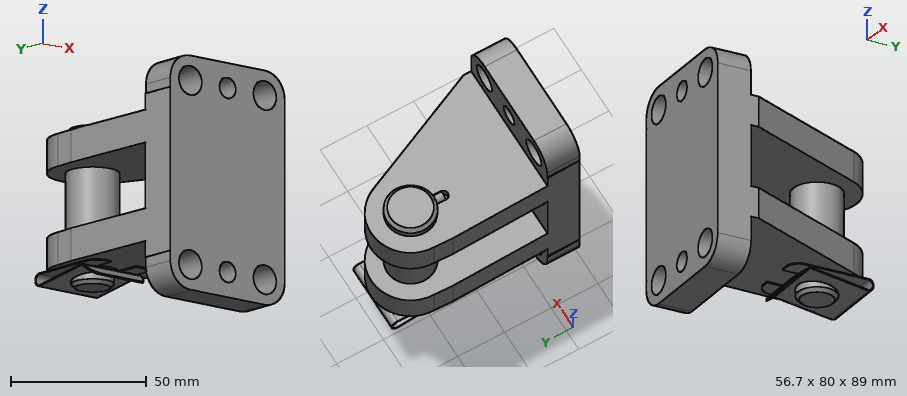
import cadquery as cq
import math


PLATE_WIDTH = 55.3
PLATE_HEIGHT = 89.0
PLATE_THICKNESS = 14.0
CORNER_RADIUS = 9.7
ROOT_HEIGHT = 62.2

BOLT_HOLE_DIAMETER = 11.0
DOWEL_HOLE_DIAMETER = 7.8
BOLT_SPACING_X = 36.0
HOLE_ROW_SPACING_Z = 69.95

LUG_GAP = 25.0
LUG_THICKNESS = 12.5
EYE_X = -11.8
EYE_Y = 63.1
EYE_RADIUS = 16.9
TAPER_OVERHANG = 1.4
TAPER_TOP_Y = 55.2
SHOULDER_Y = 17.2
LUG_OUTER_Z = LUG_GAP / 2 + LUG_THICKNESS

PIN_DIAMETER = 20.0
HEAD_HEIGHT = 3.9
PIN_CHAMFER = 1.4
NECK_DIAMETER = 12.0
NECK_LENGTH = 1.25
COLLAR_DIAMETER = 16.0
COLLAR_LENGTH = 4.7

KEY_DIAMETER = 4.0
KEY_END_Y = 49.1
KEY_RISE = 1.1
KEY_AXIS_Z = LUG_OUTER_Z + KEY_RISE - KEY_DIAMETER / 2

CLIP_WIDTH = 27.95
CLIP_THICKNESS = 0.45
CLIP_LOOP_RADIUS = 2.5
CLIP_LOOP_Y = 76.9
CLIP_TIP_Y = 45.4
CLIP_CORNER_RADIUS = 5.2
CLIP_BEND_Y = 52.7
CLIP_BEND_DROP = 0.9
CLIP_TAIL_Y = 47.7
CLIP_TAIL_DROP = 4.9


def eye_cylinder(diameter, z_bottom, z_top):
    """Cylinder on the pin axis."""
    return (
        cq.Workplane("XY", origin=(EYE_X, EYE_Y, z_bottom))
        .circle(diameter / 2)
        .extrude(z_top - z_bottom)
    )


def profile_slab(z_bottom, z_top):
    """Lug outline, from the mounting face to the round eye, extruded along Z."""
    half_width = PLATE_WIDTH / 2
    dx = half_width - EYE_X
    dy = SHOULDER_Y - EYE_Y
    angle = math.atan2(dy, dx) + math.acos(EYE_RADIUS / math.hypot(dx, dy))
    tangent = (EYE_X + EYE_RADIUS * math.cos(angle), EYE_Y + EYE_RADIUS * math.sin(angle))
    return (
        cq.Workplane("XY", origin=(0, 0, z_bottom))
        .moveTo(-half_width, 0)
        .lineTo(half_width, 0)
        .lineTo(half_width, SHOULDER_Y)
        .lineTo(*tangent)
        .threePointArc((EYE_X, EYE_Y + EYE_RADIUS), (EYE_X - EYE_RADIUS, EYE_Y))
        .lineTo(-half_width - TAPER_OVERHANG, TAPER_TOP_Y)
        .close()
        .extrude(z_top - z_bottom)
    )


def make_plate():
    """Rounded base plate with the tapered lug root."""
    plate = (
        cq.Workplane("XY")
        .box(PLATE_WIDTH, PLATE_THICKNESS, PLATE_HEIGHT)
        .edges("|Y")
        .fillet(CORNER_RADIUS)
        .translate((0, PLATE_THICKNESS / 2, 0))
    )
    root_limit = cq.Workplane("XY").box(2 * PLATE_WIDTH, 2 * PLATE_THICKNESS, ROOT_HEIGHT)
    root = profile_slab(-ROOT_HEIGHT / 2, ROOT_HEIGHT / 2).intersect(root_limit)
    return plate.union(root)


def mounting_holes():
    """Two rows of a dowel hole between two bolt holes."""
    face = cq.Workplane("XZ")
    bolts = (
        face.rarray(BOLT_SPACING_X, HOLE_ROW_SPACING_Z, 2, 2)
        .circle(BOLT_HOLE_DIAMETER / 2)
        .extrude(-PLATE_THICKNESS)
    )
    dowels = (
        face.rarray(0.9, HOLE_ROW_SPACING_Z, 1, 2)
        .circle(DOWEL_HOLE_DIAMETER / 2)
        .extrude(-PLATE_THICKNESS)
    )
    return bolts.union(dowels)


def key_slot():
    """Round-ended slot in the upper lug, open into the pin hole."""
    floor_z = KEY_AXIS_Z - KEY_DIAMETER / 2
    depth = LUG_OUTER_Z - floor_z
    length = EYE_Y - KEY_END_Y
    straight = (
        cq.Workplane("XY", origin=(EYE_X, KEY_END_Y + length / 2, floor_z))
        .rect(KEY_DIAMETER, length)
        .extrude(depth)
    )
    round_end = (
        cq.Workplane("XY", origin=(EYE_X, KEY_END_Y, floor_z))
        .circle(KEY_DIAMETER / 2)
        .extrude(depth)
    )
    return straight.union(round_end)


def make_bracket():
    """Base plate with two lugs, bored for the pin."""
    upper_lug = profile_slab(LUG_GAP / 2, LUG_OUTER_Z)
    lower_lug = profile_slab(-LUG_OUTER_Z, -LUG_GAP / 2)
    return (
        make_plate()
        .union(upper_lug)
        .union(lower_lug)
        .cut(mounting_holes())
        .cut(eye_cylinder(PIN_DIAMETER, -LUG_OUTER_Z, LUG_OUTER_Z))
        .cut(key_slot())
    )


def make_pin():
    """Chamfered pin with a clip groove near its lower end and a radial key."""
    groove_bottom_z = -LUG_OUTER_Z - NECK_LENGTH
    shank = eye_cylinder(PIN_DIAMETER, -LUG_OUTER_Z, LUG_OUTER_Z + HEAD_HEIGHT)
    neck = eye_cylinder(NECK_DIAMETER, groove_bottom_z, -LUG_OUTER_Z)
    collar = eye_cylinder(COLLAR_DIAMETER, groove_bottom_z - COLLAR_LENGTH, groove_bottom_z)
    key = (
        cq.Workplane("XZ", origin=(EYE_X, EYE_Y, KEY_AXIS_Z))
        .circle(KEY_DIAMETER / 2)
        .extrude(EYE_Y - KEY_END_Y)
    )
    return (
        shank.faces(">Z").chamfer(PIN_CHAMFER)
        .union(neck)
        .union(collar.faces("<Z").chamfer(PIN_CHAMFER))
        .union(key)
    )


def clip_blank(end_y, back_y, z_bottom, z_top):
    """Block of the clip's width whose two corners at end_y are rounded."""
    length = back_y - end_y
    return (
        cq.Workplane("XY", origin=(EYE_X, end_y + length / 2, z_bottom))
        .rect(CLIP_WIDTH, length)
        .extrude(z_top - z_bottom)
        .edges("|Z and <Y")
        .fillet(CLIP_CORNER_RADIUS)
    )


def clip_upper_leg():
    """Flat fork against the lower lug, straddling the pin neck."""
    slot_length = EYE_Y - CLIP_TIP_Y
    base_z = -LUG_OUTER_Z - CLIP_THICKNESS
    blade = clip_blank(CLIP_TIP_Y, CLIP_LOOP_Y, base_z, -LUG_OUTER_Z)
    slot = (
        cq.Workplane("XY", origin=(EYE_X, CLIP_TIP_Y + slot_length / 2, base_z))
        .rect(NECK_DIAMETER, slot_length)
        .extrude(CLIP_THICKNESS)
    )
    neck_hole = eye_cylinder(NECK_DIAMETER, base_z, -LUG_OUTER_Z)
    return blade.cut(slot).cut(neck_hole)


def clip_lower_strip():
    """Bent loop, rising leg and turned-down tail, with rounded corners and a collar hole."""
    loop_z = -LUG_OUTER_Z - CLIP_LOOP_RADIUS
    loop_end_y = CLIP_LOOP_Y + CLIP_LOOP_RADIUS
    inner_radius = CLIP_LOOP_RADIUS - CLIP_THICKNESS
    bend_z = -LUG_OUTER_Z - CLIP_BEND_DROP
    tail_z = -LUG_OUTER_Z - CLIP_TAIL_DROP
    strip = (
        cq.Workplane("YZ", origin=(EYE_X - CLIP_WIDTH / 2, 0, 0))
        .moveTo(CLIP_LOOP_Y, loop_z + CLIP_LOOP_RADIUS)
        .threePointArc((loop_end_y, loop_z), (CLIP_LOOP_Y, loop_z - CLIP_LOOP_RADIUS))
        .lineTo(CLIP_BEND_Y, bend_z - CLIP_THICKNESS)
        .lineTo(CLIP_TAIL_Y, tail_z - CLIP_THICKNESS)
        .lineTo(CLIP_TAIL_Y - CLIP_THICKNESS, tail_z)
        .lineTo(CLIP_BEND_Y, bend_z)
        .lineTo(CLIP_LOOP_Y, loop_z - inner_radius)
        .threePointArc((CLIP_LOOP_Y + inner_radius, loop_z), (CLIP_LOOP_Y, loop_z + inner_radius))
        .close()
        .extrude(CLIP_WIDTH)
    )
    floor_z = tail_z - CLIP_LOOP_RADIUS
    tail_end_y = CLIP_TAIL_Y - CLIP_THICKNESS
    rounded_limit = clip_blank(tail_end_y, loop_end_y, floor_z, -LUG_OUTER_Z)
    collar_hole = eye_cylinder(COLLAR_DIAMETER, floor_z, -LUG_OUTER_Z)
    return strip.intersect(rounded_limit).cut(collar_hole)


def make_clip():
    """Spring clip that retains the pin under the lower lug."""
    return clip_upper_leg().union(clip_lower_strip())


bracket = make_bracket()
pin = make_pin()
clip = make_clip()

result = cq.Compound.makeCompound([bracket.val(), pin.val(), clip.val()])